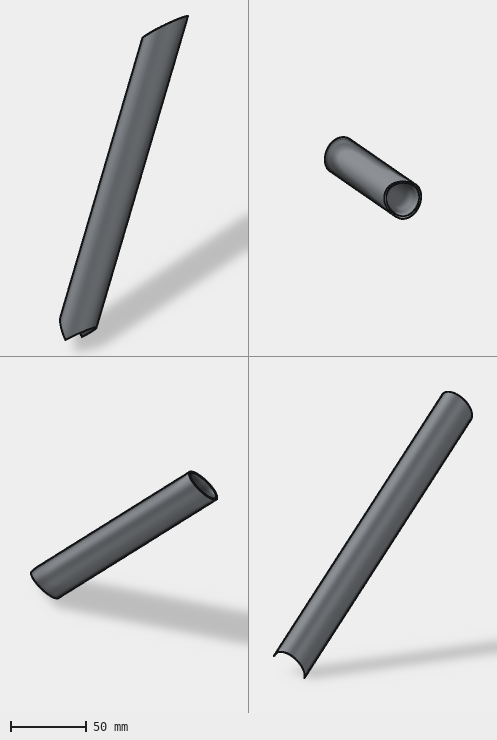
import cadquery as cq
import math

overall_height = 206.0
outer_diameter = 25.1
wall = 1.5
tilt = 32.2

outer_radius = outer_diameter / 2
inner_radius = outer_radius - wall
tilt_radians = math.radians(tilt)
axis_length = (
    overall_height - outer_radius * (1 + math.sin(tilt_radians))
) / math.cos(tilt_radians)


def mitred_tube():
    """Upright tube whose top is cut at 45 degrees, higher on the +X side."""
    low_side = axis_length - outer_radius
    high_side = axis_length + outer_radius
    mitred_block = (
        cq.Workplane("XZ")
        .moveTo(-outer_radius, 0)
        .lineTo(outer_radius, 0)
        .lineTo(outer_radius, high_side)
        .lineTo(-outer_radius, low_side)
        .close()
        .extrude(outer_radius, both=True)
    )
    tube = cq.Workplane("XY").circle(outer_radius).circle(inner_radius).extrude(high_side)
    return tube.intersect(mitred_block)


def saddle_cutter():
    """Cross cylinder along X, as wide as the tube, that shapes the fish-mouth end."""
    return cq.Workplane("YZ").circle(outer_radius).extrude(outer_diameter, both=True)


result = mitred_tube().cut(saddle_cutter()).rotate((0, 0, 0), (1, 0, 0), -tilt)